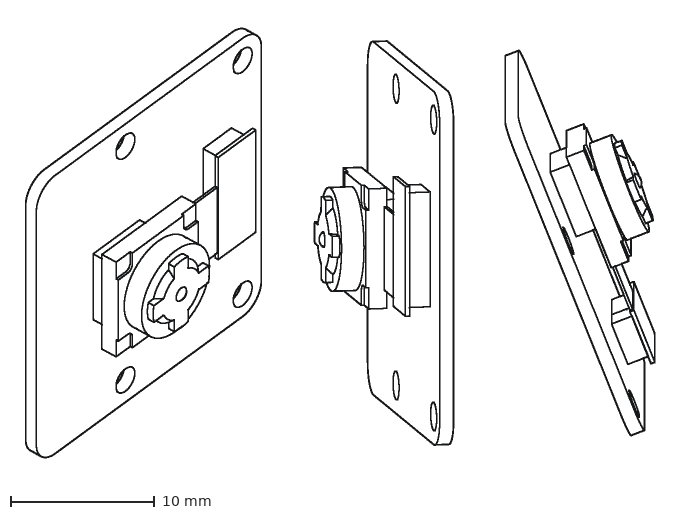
import cadquery as cq
import math

PLATE_THICKNESS = 1.0
PLATE_WIDTH = 24.0
PLATE_HEIGHT = 25.0
CORNER_RADIUS = 2.0
HOLE_DIAMETER = 2.0
HOLE_EDGE_DISTANCE = 2.0
HOLE_SPACING_Y = 12.5

STANDOFF_TOP = 2.55
HOUSING_TOP = 4.05
BARREL_TOP = 5.65
CAP_TOP = 6.18
LENS_TOP = 6.45
AXIS_Y = -2.55

PAD_HEIGHT = 5.9
PAD_NEAR_Y = -1.0
PAD_FAR_Y = -5.95
HOUSING_SIDE = 8.5
CORNER_NOTCH_SIDE = 1.5
CORNER_NOTCH_FILLET = 0.5
CORNER_NOTCH_DEPTH = 0.2
BARREL_DIAMETER = 7.25
CAP_DIAMETER = 6.0
LOBE_WIDTH = 1.5
CONE_BASE_DIAMETER = 4.95
CONE_TOP_DIAMETER = 4.0
LENS_RADIUS = 0.68

CONNECTOR_TOP_Z = 5.18
CONNECTOR_BOTTOM_Z = -PAD_HEIGHT / 2
CONNECTOR_NEAR_Y = 5.78
CONNECTOR_FAR_Y = 8.8
CONNECTOR_LEDGE = 0.08
CONNECTOR_LEDGE_TOP_Z = 0.0
STIFFENER_THICKNESS = 0.3
STIFFENER_NEAR_Y = 5.25
STIFFENER_FAR_Y = 9.25
STIFFENER_OVERHANG_Z = 0.52
FLEX_THICKNESS = 0.2
FLEX_WIDTH = PAD_HEIGHT


def block(x_range, y_range, z_range):
    """Box spanning the given (low, high) ranges."""
    lows, highs = zip(x_range, y_range, z_range)
    sizes = [high - low for low, high in zip(lows, highs)]
    return cq.Workplane("XY").box(*sizes, centered=False).translate(lows)


def axis_plane(x):
    """Workplane facing +X, centred on the optical axis; its local axes are Y and Z."""
    return cq.Workplane("YZ", origin=(x, AXIS_Y, 0))


def base_plate():
    plate = (
        cq.Workplane("YZ")
        .rect(PLATE_WIDTH, PLATE_HEIGHT)
        .extrude(PLATE_THICKNESS)
        .edges("|X")
        .fillet(CORNER_RADIUS)
    )
    outer_y = PLATE_WIDTH / 2 - HOLE_EDGE_DISTANCE
    hole_z = PLATE_HEIGHT / 2 - HOLE_EDGE_DISTANCE
    centers = [(y, z) for y in (outer_y, outer_y - HOLE_SPACING_Y) for z in (-hole_z, hole_z)]
    holes = cq.Workplane("YZ").pushPoints(centers).circle(HOLE_DIAMETER / 2).extrude(PLATE_THICKNESS)
    return plate.cut(holes)


def housing():
    """Square camera housing with a shallow square notch, rounded inside, at each front corner."""
    body = axis_plane(STANDOFF_TOP).rect(HOUSING_SIDE, HOUSING_SIDE).extrude(HOUSING_TOP - STANDOFF_TOP)
    notches = (
        axis_plane(HOUSING_TOP - CORNER_NOTCH_DEPTH)
        .rect(HOUSING_SIDE, HOUSING_SIDE, forConstruction=True)
        .vertices()
        .rect(2 * CORNER_NOTCH_SIDE, 2 * CORNER_NOTCH_SIDE)
        .extrude(CORNER_NOTCH_DEPTH)
        .edges("|X")
        .fillet(CORNER_NOTCH_FILLET)
    )
    return body.cut(notches)


def barrel_and_lens():
    """Turned body: the barrel, the cone on its front and the domed lens at its tip."""
    dome_height = LENS_TOP - CAP_TOP
    lens_rim = math.sqrt(LENS_RADIUS**2 - (LENS_RADIUS - dome_height) ** 2)
    middle_height = dome_height / 2
    middle_radius = math.sqrt(LENS_RADIUS**2 - (LENS_RADIUS - middle_height) ** 2)
    profile = (
        cq.Workplane("XY")
        .moveTo(HOUSING_TOP, 0)
        .lineTo(HOUSING_TOP, BARREL_DIAMETER / 2)
        .lineTo(BARREL_TOP, BARREL_DIAMETER / 2)
        .lineTo(BARREL_TOP, CONE_BASE_DIAMETER / 2)
        .lineTo(CAP_TOP, CONE_TOP_DIAMETER / 2)
        .lineTo(CAP_TOP, lens_rim)
        .threePointArc((LENS_TOP - middle_height, middle_radius), (LENS_TOP, 0))
        .close()
    )
    return profile.revolve(360, (0, 0), (1, 0)).translate((0, AXIS_Y, 0))


def cap_lobes():
    """Four lobes around the cone, forming a cross within the cap diameter."""
    lobe_height = CAP_TOP - BARREL_TOP
    disc = axis_plane(BARREL_TOP).circle(CAP_DIAMETER / 2).extrude(lobe_height)
    bar_y = axis_plane(BARREL_TOP).rect(CAP_DIAMETER, LOBE_WIDTH).extrude(lobe_height)
    bar_z = axis_plane(BARREL_TOP).rect(LOBE_WIDTH, CAP_DIAMETER).extrude(lobe_height)
    return bar_y.union(bar_z).intersect(disc)


def camera_pad():
    return block(
        (PLATE_THICKNESS, STANDOFF_TOP),
        (PAD_FAR_Y, PAD_NEAR_Y),
        (-PAD_HEIGHT / 2, PAD_HEIGHT / 2),
    )


def connector():
    """Connector block with a narrow ledge along the lower part of its camera side."""
    x_range = (PLATE_THICKNESS, STANDOFF_TOP)
    body = block(
        x_range,
        (CONNECTOR_NEAR_Y, CONNECTOR_FAR_Y),
        (CONNECTOR_BOTTOM_Z, CONNECTOR_TOP_Z),
    )
    ledge = block(
        x_range,
        (CONNECTOR_NEAR_Y - CONNECTOR_LEDGE, CONNECTOR_NEAR_Y),
        (CONNECTOR_BOTTOM_Z, CONNECTOR_LEDGE_TOP_Z),
    )
    return body.union(ledge)


def flex_circuit():
    """Thin strip from the housing to the stiffener that lies over the connector."""
    stiffener = block(
        (STANDOFF_TOP, STANDOFF_TOP + STIFFENER_THICKNESS),
        (STIFFENER_NEAR_Y, STIFFENER_FAR_Y),
        (CONNECTOR_BOTTOM_Z - STIFFENER_OVERHANG_Z, CONNECTOR_TOP_Z + STIFFENER_OVERHANG_Z),
    )
    strip = block(
        (STANDOFF_TOP, STANDOFF_TOP + FLEX_THICKNESS),
        (AXIS_Y, STIFFENER_NEAR_Y),
        (-FLEX_WIDTH / 2, FLEX_WIDTH / 2),
    )
    return stiffener.union(strip)


result = base_plate()
for piece in (camera_pad(), connector(), flex_circuit(), housing(), barrel_and_lens(), cap_lobes()):
    result = result.union(piece)